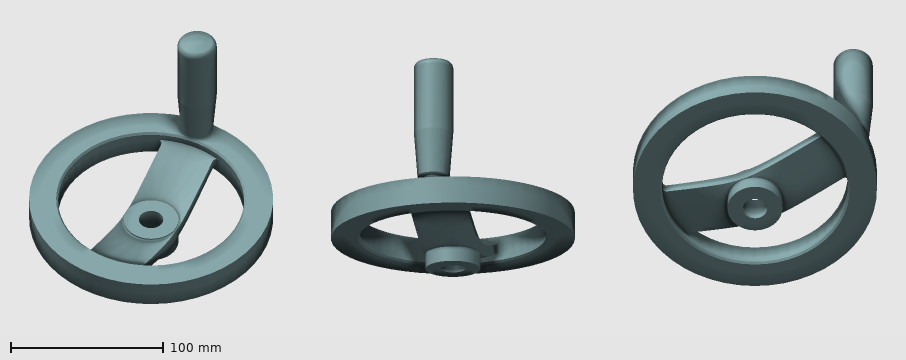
import cadquery as cq

rim_diameter = 160.0
rim_radius = rim_diameter / 2
rim_height = 18.0
rim_bore_radius = 61.0
rim_chamfer = 1.3

hub_radius = 18.0
hub_bottom = -21.0
hub_top = -1.1
bore_radius = 8.0
hub_root_chamfer = 1.3

spoke_width = 37.3
web_top_slope = 0.36
web_bottom_slope = 0.39
web_top_zero_radius = 26.8
web_bottom_zero_radius = 46.1
window_fillet = 2.3

overall_length = 163.5
grip_radius = 12.9
grip_foot_radius = 10.6
grip_foot_chamfer = 0.8
neck_radius = 6.7
handle_y = overall_length - rim_radius - grip_radius
neck_length = 2.5
grip_bottom = rim_height + neck_length
taper_top = 50.7
cap_start = 95.3
cap_edge_radius = 10.1
cap_edge_height = 99.2
cap_mid_radius = 12.0
cap_mid_height = 98.0
handle_top = 100.5


def revolve_about_z(profile):
    """Turn a closed (radius, height) profile around the Z axis."""
    return profile.close().revolve(360, (0, 0, 0), (0, 1, 0))


def make_rim():
    ring = cq.Workplane("XY").circle(rim_radius).circle(rim_bore_radius).extrude(rim_height)
    bore_edges = ring.edges(cq.selectors.RadiusNthSelector(0))
    return bore_edges.chamfer(rim_chamfer)


def web_top(radius):
    return web_top_slope * (radius - web_top_zero_radius)


def web_bottom(radius):
    return web_bottom_slope * (radius - web_bottom_zero_radius)


def make_window():
    """Filleted segment-shaped opening on the +X side of the spoke bar."""
    depth = rim_height - hub_bottom
    disc = cq.Workplane("XY").workplane(offset=hub_bottom).circle(rim_bore_radius).extrude(depth)
    half_space = (
        cq.Workplane("XY")
        .workplane(offset=hub_bottom)
        .center(spoke_width / 2 + rim_radius, 0)
        .rect(2 * rim_radius, 2 * rim_radius)
        .extrude(depth)
    )
    corners = cq.selectors.BoxSelector(
        (spoke_width / 2 - window_fillet, -rim_radius, hub_bottom),
        (spoke_width / 2 + window_fillet, rim_radius, rim_height),
    )
    return disc.intersect(half_space).edges("|Z").edges(corners).fillet(window_fillet)


def make_spokes():
    outer = rim_bore_radius + rim_chamfer
    inner = bore_radius
    web = revolve_about_z(
        cq.Workplane("XZ")
        .moveTo(inner, web_bottom(hub_radius))
        .lineTo(hub_radius, web_bottom(hub_radius))
        .lineTo(outer, web_bottom(outer))
        .lineTo(outer, web_top(outer))
        .lineTo(hub_radius, web_top(hub_radius))
        .lineTo(inner, web_top(hub_radius))
    )
    root_radius = hub_radius + hub_root_chamfer
    root_height = web_top(root_radius)
    hub_root = revolve_about_z(
        cq.Workplane("XZ")
        .moveTo(inner, hub_top)
        .lineTo(hub_radius, hub_top)
        .lineTo(hub_radius, root_height + hub_root_chamfer / 2)
        .lineTo(root_radius, root_height)
        .lineTo(hub_radius, web_top(hub_radius))
        .lineTo(inner, web_top(hub_radius))
    )
    window = make_window()
    return web.union(hub_root).cut(window).cut(window.mirror("YZ"))


def make_hub():
    return cq.Workplane("XY").workplane(offset=hub_bottom).circle(hub_radius).extrude(hub_top - hub_bottom)


def make_handle():
    dome_rise = handle_top - cap_edge_height
    dome_radius = (cap_edge_radius**2 + dome_rise**2) / (2 * dome_rise)
    profile = (
        cq.Workplane("XZ")
        .moveTo(0, rim_height / 2)
        .lineTo(neck_radius, rim_height / 2)
        .lineTo(neck_radius, grip_bottom)
        .lineTo(grip_foot_radius - grip_foot_chamfer, grip_bottom)
        .lineTo(grip_foot_radius, grip_bottom + grip_foot_chamfer)
        .lineTo(grip_radius, taper_top)
        .lineTo(grip_radius, cap_start)
        .threePointArc((cap_mid_radius, cap_mid_height), (cap_edge_radius, cap_edge_height))
        .radiusArc((0, handle_top), -dome_radius)
    )
    return revolve_about_z(profile).translate((0, handle_y, 0))


wheel = make_rim().union(make_spokes()).union(make_hub())
shaft_bore = (
    cq.Workplane("XY").workplane(offset=hub_bottom).circle(bore_radius).extrude(hub_top - hub_bottom)
)
result = wheel.cut(shaft_bore).union(make_handle())